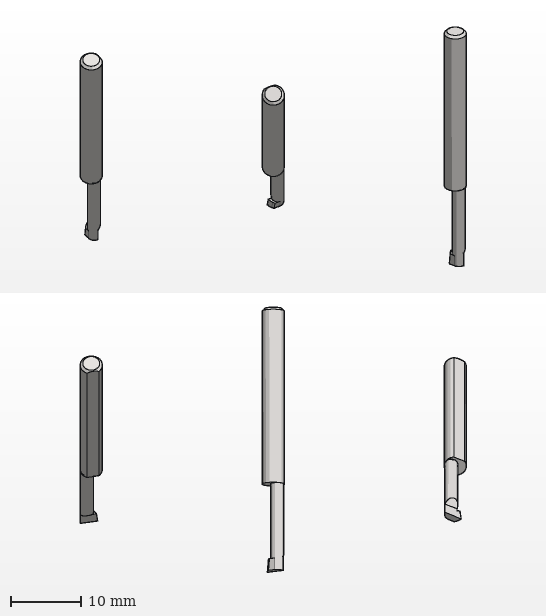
import cadquery as cq
import math

overall_length = 38.1
shank_diameter = 3.175
shank_radius = shank_diameter / 2
shank_depth = 2.92
flat_y = shank_depth - shank_radius
shank_chamfer = 0.38

neck_length = 12.7
neck_diameter = 1.9
neck_radius = neck_diameter / 2
neck_x = shank_radius - neck_radius

rake_flat_height = 2.15
rake_ramp_angle = 42.0

tip_height = 1.8
tip_corner_x = -0.95
flank_depth = 0.7
flank_start_angle = 21.0
flank_end_angle = 39.0
heel_angle = 45.0
side_draft_angle = 5.5

end_relief_angle = 5.0
end_slope_angle = 2.0


def make_shank():
    shank_length = overall_length - neck_length
    shank = (
        cq.Workplane("XY", origin=(0, 0, neck_length))
        .circle(shank_radius)
        .extrude(shank_length)
        .faces(">Z")
        .chamfer(shank_chamfer)
    )
    flat_cutter = cq.Workplane("XY", origin=(0, flat_y, neck_length)).box(
        2 * shank_diameter, shank_diameter, shank_length, centered=(True, False, False)
    )
    return shank.cut(flat_cutter)


def make_neck():
    neck = cq.Workplane("XY").center(neck_x, 0).circle(neck_radius).extrude(neck_length)
    ramp_run = neck_diameter
    ramp_top = rake_flat_height + ramp_run * math.tan(math.radians(rake_ramp_angle))
    rake_cutter = (
        cq.Workplane("YZ")
        .polyline([(0, 0), (ramp_run, 0), (ramp_run, ramp_top), (0, rake_flat_height)])
        .close()
        .extrude(shank_diameter, both=True)
    )
    return neck.cut(rake_cutter)


def make_tip():
    start = math.radians(flank_start_angle)
    end = math.radians(flank_end_angle)
    middle = (start + end) / 2
    flank_radius = flank_depth / (math.sin(end) - math.sin(start))

    def flank_point(angle, shift):
        x = tip_corner_x + shift + flank_radius * (math.cos(start) - math.cos(angle))
        y = flank_radius * (math.sin(start) - math.sin(angle))
        return x, y

    def tip_outline(workplane, shift):
        flank_end_x, flank_end_y = flank_point(end, shift)
        heel_x = flank_end_x + (neck_radius + flank_end_y) * math.tan(math.radians(heel_angle))
        return (
            workplane.moveTo(neck_x, 0)
            .lineTo(tip_corner_x + shift, 0)
            .threePointArc(flank_point(middle, shift), (flank_end_x, flank_end_y))
            .lineTo(heel_x, -neck_radius)
            .lineTo(neck_x, -neck_radius)
            .close()
        )

    top_shift = tip_height * math.tan(math.radians(side_draft_angle))
    bottom = tip_outline(cq.Workplane("XY"), 0)
    return tip_outline(bottom.workplane(offset=tip_height), top_shift).loft(ruled=True)


def make_end_cutter():
    size = 2 * shank_diameter
    return (
        cq.Workplane("XY")
        .box(size, size, size, centered=(True, True, False))
        .translate((0, 0, -size))
        .rotate((0, 0, 0), (1, 0, 0), -end_relief_angle)
        .rotate((0, 0, 0), (0, 1, 0), -end_slope_angle)
        .translate((tip_corner_x, 0, 0))
    )


cutting_end = make_neck().union(make_tip()).cut(make_end_cutter())
result = make_shank().union(cutting_end)